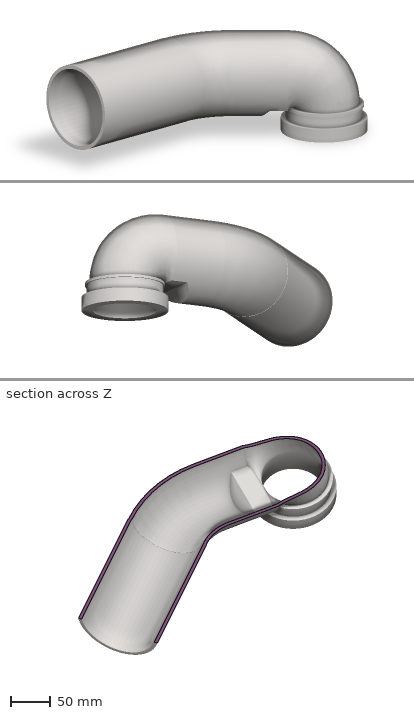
import cadquery as cq
import math

pipe_radius = 55.0
pipe_length = 170.0
wall = 4.5

bend_radius = 110.0
bend_angle = 43
fitting_radius = 54.5
neck_length = 69.3
rise_start = 32.7
rise_end = 46.0

elbow_reach = 46.0
elbow_drop = 39.3
outlet_radius = 45.0
pivot_gap = 0.8
elbow_sections = 5

lip_radius = 50.8
lip_height = 3.5
collar_radius = 49.0
collar_height = 15.0
socket_diameter = 110.5
socket_height = 17.5

angle = math.radians(bend_angle)
neck_x = bend_radius * (1 - math.cos(angle))
neck_y = pipe_length + bend_radius * math.sin(angle)
direction = cq.Vector(math.sin(angle), math.cos(angle), 0)
sideways = cq.Vector(math.cos(angle), -math.sin(angle), 0)
down = cq.Vector(0, 0, -1)
neck_start = cq.Vector(neck_x, neck_y, 0)
neck_end = neck_start + direction * neck_length
outlet_centre = neck_end + direction * elbow_reach + down * elbow_drop
elbow_pivot = neck_end + down * elbow_drop


def pipe_and_bend(inset):
    """Straight pipe and horizontal bend, shrunk by inset."""
    pipe = cq.Workplane("XZ").circle(pipe_radius - inset).extrude(-pipe_length)
    bend = (
        cq.Workplane("XZ", origin=(0, pipe_length, 0))
        .circle(fitting_radius - inset)
        .revolve(bend_angle, (bend_radius, 4), (bend_radius, 0))
    )
    return pipe.union(bend)


def neck(inset):
    """Straight neck with its underside cut up towards the elbow."""
    radius = fitting_radius - inset
    plane = cq.Plane(neck_start, sideways, direction)
    body = cq.Workplane(plane).circle(radius).extrude(neck_length)
    floor = -elbow_drop + pivot_gap + inset
    side_plane = cq.Plane(neck_start, direction, sideways)
    wedge = (
        cq.Workplane(side_plane)
        .moveTo(rise_start, -radius)
        .lineTo(rise_end, floor)
        .lineTo(neck_length, floor)
        .lineTo(neck_length, -radius)
        .close()
        .extrude(fitting_radius, both=True)
    )
    return body.cut(wedge)


def elbow_section(turn, share, inset):
    """Circle flattened on the side facing the elbow's turning axis."""
    outward = direction * math.sin(turn) - down * math.cos(turn)
    radius = fitting_radius + (outlet_radius - fitting_radius) * share - inset
    distance = elbow_drop + (elbow_reach - elbow_drop) * share
    centre = elbow_pivot + outward * distance
    flat = max(pivot_gap + inset, distance - radius + pivot_gap)
    rise = flat - distance
    half_flat = math.sqrt(radius**2 - rise**2)
    flat_middle = centre + outward * rise
    left = flat_middle - sideways * half_flat
    right = flat_middle + sideways * half_flat
    arc = cq.Edge.makeThreePointArc(left, centre + outward * radius, right)
    return cq.Wire.assembleEdges([arc, cq.Edge.makeLine(right, left)])


def elbow(inset):
    """Quarter turn narrowing from the neck to the outlet."""
    sections = []
    for index in range(elbow_sections):
        share = index / (elbow_sections - 1)
        sections.append(elbow_section(share * math.pi / 2, share, inset))
    return cq.Workplane(cq.Solid.makeLoft(sections))


def disc(radius, height, depth):
    """Vertical cylinder hanging at the given depth below the outlet top."""
    return cq.Workplane(cq.Solid.makeCylinder(radius, height, outlet_centre + down * depth, down))


outlet_height = lip_height + collar_height + socket_height
lip = disc(lip_radius, lip_height, 0)
collar = disc(collar_radius, collar_height, lip_height)
socket = disc(socket_diameter / 2, socket_height, lip_height + collar_height)
outlet = lip.union(collar).union(socket)
outlet_bore = disc(outlet_radius - wall, outlet_height, 0)

outside = pipe_and_bend(0).union(neck(0)).union(elbow(0)).union(outlet)
bore = pipe_and_bend(wall).union(neck(wall)).union(elbow(wall)).union(outlet_bore)
result = outside.cut(bore)